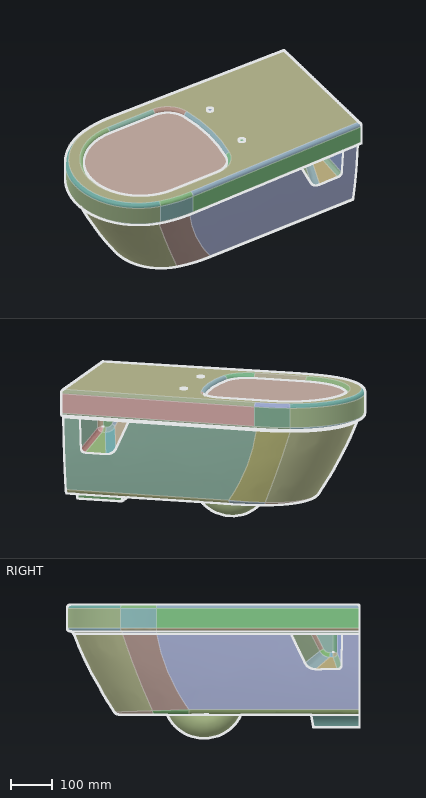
import cadquery as cq
import math


LENGTH = 703.0
RIM_HEIGHT = 65.0
RIM_REAR_HALF_WIDTH = 173.0
RIM_SIDE_HALF_WIDTH = 362.0 / 2
RIM_NOSE_RADIUS = 177.0
RIM_TOP_ROUND = 9.0
RIM_BACK_CHAMFER = 3.0
RIM_UNDER_ROUND = 8.0
SIDE_END_Y = -487.0
BLEND_DROP = 48.0

FLARE_TOP_INSET = 10.5

BODY_INSET = 16.0
BODY_TOP_Z = -70.0
BODY_MID_Z = -165.0
BODY_BOTTOM_Z = -265.0
MID_REAR_HALF_WIDTH = 149.0
MID_SIDE_HALF_WIDTH = 152.5
MID_NOSE_RADIUS = 149.0
MID_TIP_Y = -644.0
MID_SIDE_END_Y = -459.0
BOTTOM_REAR_HALF_WIDTH = 133.5
BOTTOM_SIDE_HALF_WIDTH = 134.0
BOTTOM_NOSE_RADIUS = 126.5
BOTTOM_TIP_Y = -585.0
BOTTOM_SIDE_END_Y = -401.0
BODY_BOTTOM_ROUND = 15.5

BOWL_HALF_WIDTH = 136.0
BOWL_TIP_Y = -657.0
BOWL_REAR_Y = -326.0
BOWL_REAR_RADIUS = 415.0
BOWL_CORNER_RADIUS = 56.0
BOWL_DEPTH = 10.5
BOWL_LIP_ROUND = 10.0
LIP_SELECT_MARGIN = 1.5

HINGE_SPACING = 140.5
HINGE_Y = -276.0
HINGE_DIAMETER = 15.5
HINGE_DEPTH = 1.0

POCKET_TOP_Z = BODY_TOP_Z
POCKET_MOUTH_X = 169.0
POCKET_END_X = 35.0
MOUTH_REAR_Y = -41.5
MOUTH_FRONT_TOP_Y = -169.0
MOUTH_FRONT_BOTTOM_Y = -129.5
MOUTH_BOTTOM_Z = -160.0
END_REAR_Y = -54.0
END_FRONT_TOP_Y = -114.0
END_FRONT_BOTTOM_Y = -86.0
END_BOTTOM_Z = -124.5
POCKET_REAR_ROUND = 10.5
POCKET_FRONT_ROUND = 28.0
POCKET_END_ROUND = 11.0

TRAP_Y = -373.0
TRAP_BOTTOM_Z = -322.0
TRAP_BEND_RADIUS = 57.0
TRAP_PIPE_RADIUS = 41.0

FOOT_BOTTOM_Z = -295.0
FOOT_TOP_LENGTH = 117.0
FOOT_BOTTOM_LENGTH = 111.0
FOOT_TOP_HALF_WIDTH = 84.5
FOOT_MID_HALF_WIDTH = 50.5
FOOT_MID_Z = -275.5
FOOT_BOTTOM_HALF_WIDTH = 38.0
FOOT_OVERLAP = 10.5


def pan_outline(z, rear, side, tip_y, nose_radius, side_end_y):
    """Plan outline: straight sides that blend into a round nose."""
    centre_y = tip_y + nose_radius
    drop = BLEND_DROP * nose_radius / RIM_NOSE_RADIUS
    nose_x = math.sqrt(nose_radius**2 - drop**2)
    nose_y = centre_y - drop
    spread = side - rear
    return (
        cq.Workplane("XY", origin=(0, 0, z))
        .moveTo(-rear, 0)
        .lineTo(-side, side_end_y)
        .spline(
            [(-nose_x, nose_y)],
            tangents=[(-spread, side_end_y), (drop, -nose_x)],
            includeCurrent=True,
        )
        .threePointArc((0, tip_y), (nose_x, nose_y))
        .spline(
            [(side, side_end_y)],
            tangents=[(drop, nose_x), (-spread, -side_end_y)],
            includeCurrent=True,
        )
        .lineTo(rear, 0)
        .close()
    )


def inset_rim_outline(z, inset):
    """Rim outline moved inward by the same distance all round."""
    return pan_outline(
        z,
        RIM_REAR_HALF_WIDTH - inset,
        RIM_SIDE_HALF_WIDTH - inset,
        inset - LENGTH,
        RIM_NOSE_RADIUS - inset,
        SIDE_END_Y,
    )


def loft_through(outlines):
    return cq.Workplane(cq.Solid.makeLoft([outline.val() for outline in outlines]))


def make_rim():
    rim = inset_rim_outline(-RIM_HEIGHT, 0).extrude(RIM_HEIGHT)
    rim = rim.faces(">Z").edges("not >Y").fillet(RIM_TOP_ROUND)
    rim = rim.faces("<Z").edges("not >Y").fillet(RIM_UNDER_ROUND)
    back_wedge = (
        cq.Workplane("YZ")
        .polyline([(0, 0), (-RIM_BACK_CHAMFER, 0), (0, -RIM_BACK_CHAMFER)])
        .close()
        .extrude(RIM_SIDE_HALF_WIDTH, both=True)
    )
    return rim.cut(back_wedge)


def make_flare():
    return loft_through([
        inset_rim_outline(-RIM_HEIGHT, FLARE_TOP_INSET),
        inset_rim_outline(BODY_TOP_Z, BODY_INSET),
    ])


def make_body():
    body = loft_through([
        inset_rim_outline(BODY_TOP_Z, BODY_INSET),
        pan_outline(
            BODY_MID_Z, MID_REAR_HALF_WIDTH, MID_SIDE_HALF_WIDTH,
            MID_TIP_Y, MID_NOSE_RADIUS, MID_SIDE_END_Y,
        ),
        pan_outline(
            BODY_BOTTOM_Z, BOTTOM_REAR_HALF_WIDTH, BOTTOM_SIDE_HALF_WIDTH,
            BOTTOM_TIP_Y, BOTTOM_NOSE_RADIUS, BOTTOM_SIDE_END_Y,
        ),
    ])
    return body.faces("<Z").edges("not >Y").fillet(BODY_BOTTOM_ROUND)


def make_trap():
    centre_z = TRAP_BOTTOM_Z + TRAP_BEND_RADIUS + TRAP_PIPE_RADIUS
    centre = cq.Vector(0, TRAP_Y, centre_z)
    return cq.Workplane(cq.Solid.makeTorus(TRAP_BEND_RADIUS, TRAP_PIPE_RADIUS, centre, cq.Vector(1, 0, 0)))


def make_foot():
    top_z = BODY_BOTTOM_Z + FOOT_OVERLAP
    flanks = (
        cq.Workplane("XZ")
        .moveTo(-FOOT_TOP_HALF_WIDTH, top_z)
        .lineTo(-FOOT_TOP_HALF_WIDTH, BODY_BOTTOM_Z)
        .threePointArc((-FOOT_MID_HALF_WIDTH, FOOT_MID_Z), (-FOOT_BOTTOM_HALF_WIDTH, FOOT_BOTTOM_Z))
        .lineTo(FOOT_BOTTOM_HALF_WIDTH, FOOT_BOTTOM_Z)
        .threePointArc((FOOT_MID_HALF_WIDTH, FOOT_MID_Z), (FOOT_TOP_HALF_WIDTH, BODY_BOTTOM_Z))
        .lineTo(FOOT_TOP_HALF_WIDTH, top_z)
        .close()
        .extrude(FOOT_TOP_LENGTH)
    )
    side_profile = [
        (0, top_z),
        (-FOOT_TOP_LENGTH, top_z),
        (-FOOT_TOP_LENGTH, BODY_BOTTOM_Z),
        (-FOOT_BOTTOM_LENGTH, FOOT_BOTTOM_Z),
        (0, FOOT_BOTTOM_Z),
    ]
    slanted_end = (
        cq.Workplane("YZ").polyline(side_profile).close().extrude(FOOT_TOP_HALF_WIDTH, both=True)
    )
    return flanks.intersect(slanted_end)


def make_bowl_cutter():
    corner_y = BOWL_REAR_Y - BOWL_REAR_RADIUS + math.sqrt(BOWL_REAR_RADIUS**2 - BOWL_HALF_WIDTH**2)
    nose_centre_y = BOWL_TIP_Y + BOWL_HALF_WIDTH
    return (
        cq.Workplane("XY", origin=(0, 0, -BOWL_DEPTH))
        .moveTo(-BOWL_HALF_WIDTH, nose_centre_y)
        .threePointArc((0, BOWL_TIP_Y), (BOWL_HALF_WIDTH, nose_centre_y))
        .lineTo(BOWL_HALF_WIDTH, corner_y)
        .threePointArc((0, BOWL_REAR_Y), (-BOWL_HALF_WIDTH, corner_y))
        .close()
        .extrude(BOWL_DEPTH)
        .edges("|Z")
        .edges(">Y")
        .fillet(BOWL_CORNER_RADIUS)
    )


def pocket_section(x, rear_y, front_top_y, front_bottom_y, bottom_z):
    points = [
        (rear_y, POCKET_TOP_Z),
        (rear_y, bottom_z),
        (front_bottom_y, bottom_z),
        (front_top_y, POCKET_TOP_Z),
    ]
    return cq.Workplane("YZ", origin=(x, 0, 0)).polyline(points).close().val()


def make_pocket_cutter():
    """Tapered pocket in the +X side."""
    mouth = pocket_section(
        POCKET_MOUTH_X, MOUTH_REAR_Y, MOUTH_FRONT_TOP_Y, MOUTH_FRONT_BOTTOM_Y, MOUTH_BOTTOM_Z
    )
    end = pocket_section(POCKET_END_X, END_REAR_Y, END_FRONT_TOP_Y, END_FRONT_BOTTOM_Y, END_BOTTOM_Z)
    cutter = cq.Workplane(cq.Solid.makeLoft([mouth, end], True))
    cutter = cutter.faces(">Y").edges("<Z").fillet(POCKET_REAR_ROUND)
    cutter = cutter.faces("<Y").edges("<Z").fillet(POCKET_FRONT_ROUND)
    return cutter.faces("<X").edges("<Z").fillet(POCKET_END_ROUND)


def cut_bowl(pan):
    pan = pan.cut(make_bowl_cutter())
    bowl_edge = cq.selectors.BoxSelector(
        (-BOWL_HALF_WIDTH - LIP_SELECT_MARGIN, BOWL_TIP_Y - LIP_SELECT_MARGIN, -LIP_SELECT_MARGIN),
        (BOWL_HALF_WIDTH + LIP_SELECT_MARGIN, BOWL_REAR_Y + LIP_SELECT_MARGIN, LIP_SELECT_MARGIN),
    )
    return pan.edges(bowl_edge).fillet(BOWL_LIP_ROUND)


def cut_hinge_holes(pan):
    holes = pan.faces(">Z").workplane(origin=(0, HINGE_Y, 0)).rarray(HINGE_SPACING, 7, 2, 1)
    return holes.hole(HINGE_DIAMETER, HINGE_DEPTH)


def cut_pockets(pan):
    cutter = make_pocket_cutter()
    return pan.cut(cutter).cut(cutter.mirror("YZ"))


pan = make_rim().union(make_flare()).union(make_body())
pan = pan.union(make_trap()).union(make_foot())
pan = cut_bowl(pan)
pan = cut_hinge_holes(pan)
result = cut_pockets(pan)